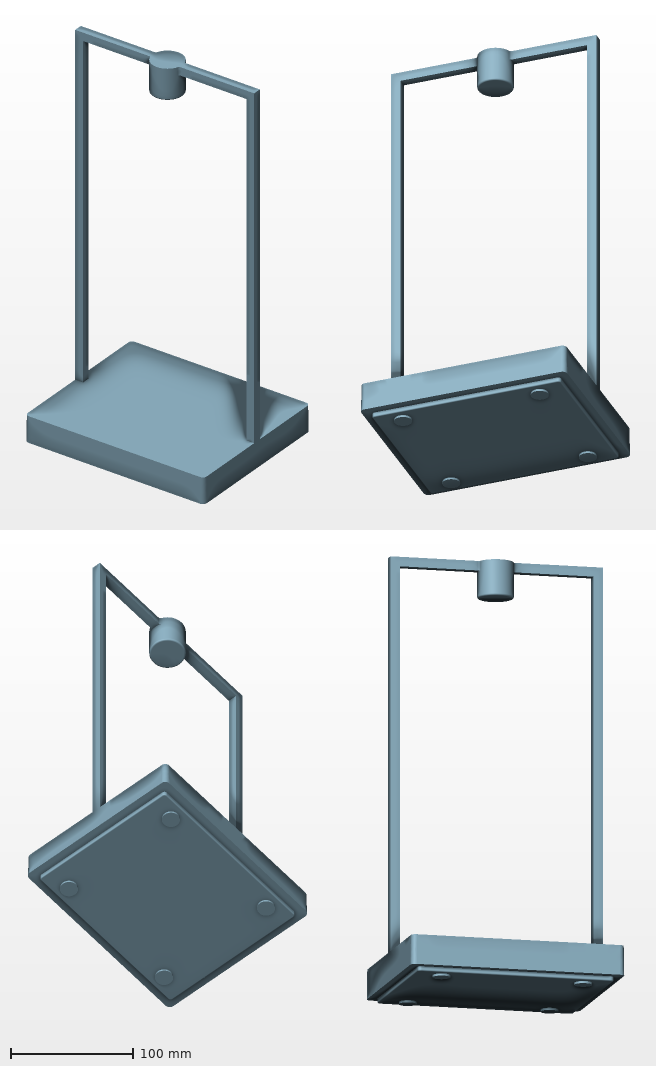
import cadquery as cq
import math

total_height = 361.5

base_top_length = 180.0
base_top_depth = 150.0
base_height = 25.0
base_corner_radius = 4.0
draft_angle = 1.0

plate_inset = 7.5
plate_thickness = 4.0
plate_corner_radius = 3.0
plate_edge_fillet = 1.0

foot_diameter = 15.0
foot_height = 1.8
foot_spacing_x = 120.0
foot_spacing_y = 110.0

bar_width = 8.0
tenon_width = bar_width / 2

head_diameter = 30.0
head_height = 30.0
head_edge_fillet = 1.5
blend_radius = 2.0
stub_straight_length = 1.0

plate_bottom = foot_height
base_bottom = plate_bottom + plate_thickness
base_top = base_bottom + base_height
bar_bottom = total_height - bar_width
bar_middle = bar_bottom + bar_width / 2

base_growth = 2 * base_height * math.tan(math.radians(draft_angle))
plate_length = base_top_length + base_growth - 2 * plate_inset
plate_depth = base_top_depth + base_growth - 2 * plate_inset

head_radius = head_diameter / 2
half_bar = bar_width / 2
blend_center_y = half_bar + blend_radius
blend_center_x = math.sqrt((head_radius + blend_radius) ** 2 - blend_center_y**2)
joint_x = blend_center_x + stub_straight_length


def make_base():
    outline = cq.Sketch().rect(base_top_length, base_top_depth).vertices().fillet(base_corner_radius)
    return (
        cq.Workplane("XY", origin=(0, 0, base_top))
        .placeSketch(outline)
        .extrude(-base_height, taper=-draft_angle)
    )


def make_plate():
    return (
        cq.Workplane("XY", origin=(0, 0, plate_bottom))
        .rect(plate_length, plate_depth)
        .extrude(plate_thickness)
        .edges("|Z")
        .fillet(plate_corner_radius)
        .faces("<Z")
        .edges()
        .fillet(plate_edge_fillet)
    )


def make_foot(x, y):
    return cq.Workplane("XY", origin=(x, y, 0)).circle(foot_diameter / 2).extrude(foot_height)


def make_tenon():
    return cq.Workplane("XY", origin=(0, 0, bar_middle)).box(2 * joint_x, tenon_width, tenon_width)


def make_frame():
    frame_height = total_height - base_top
    opening_length = base_top_length - 2 * bar_width
    block = (
        cq.Workplane("XY", origin=(0, 0, base_top))
        .rect(base_top_length, bar_width)
        .extrude(frame_height)
    )
    opening = (
        cq.Workplane("XY", origin=(0, 0, base_top))
        .rect(opening_length, bar_width)
        .extrude(frame_height - bar_width)
    )
    head_gap = (
        cq.Workplane("XY", origin=(0, 0, bar_bottom))
        .rect(2 * joint_x, bar_width)
        .extrude(bar_width)
    )
    return block.cut(opening).cut(head_gap).union(make_tenon())


def make_stubs():
    blend_centers = [(sx * blend_center_x, sy * blend_center_y) for sx in (-1, 1) for sy in (-1, 1)]
    level = cq.Workplane("XY", origin=(0, 0, bar_bottom))
    stubs = level.rect(2 * joint_x, bar_width).extrude(bar_width)
    for x, y in blend_centers:
        flare = level.polyline([(0, 0), (x, 0), (x, y)]).close().extrude(bar_width)
        blend = level.center(x, y).circle(blend_radius).extrude(bar_width)
        stubs = stubs.union(flare.cut(blend))
    return stubs


def make_head():
    body = (
        cq.Workplane("XY", origin=(0, 0, total_height - head_height))
        .circle(head_radius)
        .extrude(head_height)
        .faces("<Z")
        .edges()
        .fillet(head_edge_fillet)
    )
    return body.union(make_stubs()).cut(make_tenon())


base = make_base()
plate = make_plate()
frame = make_frame()
head = make_head()
feet = [
    make_foot(side_x * foot_spacing_x / 2, side_y * foot_spacing_y / 2)
    for side_x in (-1, 1)
    for side_y in (-1, 1)
]

result = cq.Compound.makeCompound(
    [base.val(), plate.val(), frame.solids().val(), head.solids().val(), *[foot.val() for foot in feet]]
)